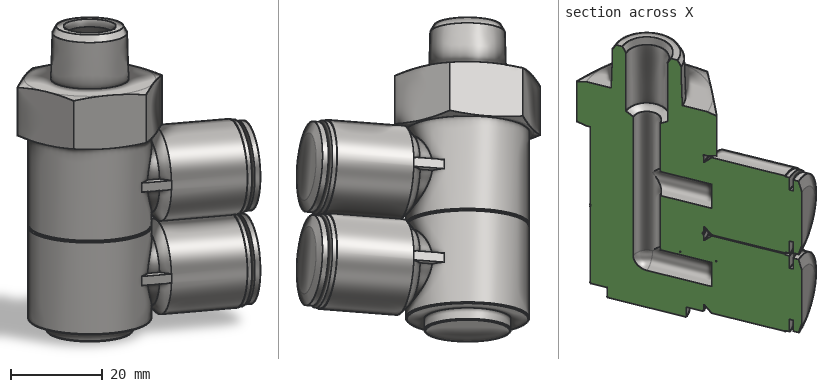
import cadquery as cq
import math

total_height = 68.8
body_bottom = 2.7
body_count = 2
hex_bottom = 44.85
body_length = (hex_bottom - body_bottom) / body_count
hex_height = 12.05
hex_top = hex_bottom + hex_height

boss_diameter = 18.9
body_diameter = 27.0
edge_chamfer = 0.3
hex_across_flats = 28.7
hex_chamfer_angle = 15.0
thread_root_diameter = 17.0
thread_end_diameter = 16.4
thread_tip_diameter = 14.65
thread_chamfer_height = 1.5

inlet_diameter = 9.8
inlet_mouth_diameter = 11.4
inlet_mouth_height = 1.5
inlet_depth = 17.2
inlet_cone_half_angle = 59.0
passage_diameter = 6.3

branch_diameter = 21.0
branch_root_diameter = 16.9
branch_cone_start = 13.3
branch_cone_end = 15.35
branch_step_diameter = 20.6
branch_step_start = 32.75
branch_step_end = 33.8
neck_diameter = 14.0
collar_diameter = 19.8
collar_tip_diameter = 14.7
collar_start = 34.6
collar_rim_end = 35.9
collar_tip = 36.7
rib_thickness = 2.05

branch_levels = [body_bottom + (i + 0.5) * body_length for i in range(body_count)]


def cylinder(diameter, bottom, height):
    """Upright cylinder on the stem axis."""
    return cq.Workplane("XY").workplane(offset=bottom).circle(diameter / 2).extrude(height)


def revolve_about_z(profile):
    """Solid of revolution from (radius, z) points."""
    return cq.Workplane("XZ").polyline(profile).close().revolve(360, (0, 0), (0, 1))


def make_bodies():
    bodies = cylinder(boss_diameter, 0, body_bottom).faces("<Z").chamfer(edge_chamfer)
    for i in range(body_count):
        body = cylinder(body_diameter, body_bottom + i * body_length, body_length)
        is_top_body = i == body_count - 1
        chamfered_ends = "<Z" if is_top_body else "<Z or >Z"
        bodies = bodies.union(body.faces(chamfered_ends).chamfer(edge_chamfer))
    return bodies


def make_hexagon():
    corner_radius = hex_across_flats / math.sqrt(3)
    flat_radius = hex_across_flats / 2
    drop = (corner_radius - flat_radius) * math.tan(math.radians(hex_chamfer_angle))
    prism = (
        cq.Workplane("XY").workplane(offset=hex_bottom)
        .polygon(6, 2 * corner_radius).extrude(hex_height)
        .rotate((0, 0, 0), (0, 0, 1), 30)
    )
    envelope = revolve_about_z([
        (0, hex_bottom),
        (flat_radius, hex_bottom),
        (corner_radius, hex_bottom + drop),
        (corner_radius, hex_top - drop),
        (flat_radius, hex_top),
        (0, hex_top),
    ])
    return prism.intersect(envelope)


def make_thread():
    return revolve_about_z([
        (0, hex_top),
        (thread_root_diameter / 2, hex_top),
        (thread_end_diameter / 2, total_height - thread_chamfer_height),
        (thread_tip_diameter / 2, total_height),
        (0, total_height),
    ])


def make_branch(level):
    profile = [
        (0, 0),
        (branch_root_diameter / 2, 0),
        (branch_root_diameter / 2, branch_cone_start),
        (branch_diameter / 2, branch_cone_end),
        (branch_diameter / 2, branch_step_start),
        (branch_step_diameter / 2, branch_step_start),
        (branch_step_diameter / 2, branch_step_end),
        (neck_diameter / 2, branch_step_end),
        (neck_diameter / 2, collar_start),
        (collar_diameter / 2, collar_start),
        (collar_diameter / 2, collar_rim_end),
        (collar_tip_diameter / 2, collar_tip),
        (0, collar_tip),
    ]
    turned = cq.Workplane("XY").polyline(profile).close().revolve(360, (0, 0), (0, 1))
    rib = cq.Workplane("XY").box(
        branch_diameter, branch_cone_end, rib_thickness, centered=(True, False, True)
    )
    return turned.union(rib).translate((0, 0, level))


def make_passages():
    inlet_radius = inlet_diameter / 2
    mouth_radius = inlet_mouth_diameter / 2
    passage_radius = passage_diameter / 2
    inlet_bottom = total_height - inlet_depth
    cone_height = (inlet_radius - passage_radius) / math.tan(math.radians(inlet_cone_half_angle))
    passages = revolve_about_z([
        (0, branch_levels[0]),
        (passage_radius, branch_levels[0]),
        (passage_radius, inlet_bottom - cone_height),
        (inlet_radius, inlet_bottom),
        (inlet_radius, total_height - inlet_mouth_height),
        (mouth_radius, total_height),
        (0, total_height),
    ])
    rounded_end = cq.Workplane("XY").sphere(passage_radius).translate((0, 0, branch_levels[0]))
    passages = passages.union(rounded_end)
    for level in branch_levels:
        outlet = (
            cq.Workplane("XZ").center(0, level)
            .circle(passage_radius).extrude(-branch_cone_end)
        )
        passages = passages.union(outlet)
    return passages


result = make_bodies().union(make_hexagon()).union(make_thread())
for branch_level in branch_levels:
    result = result.union(make_branch(branch_level))
result = result.cut(make_passages())